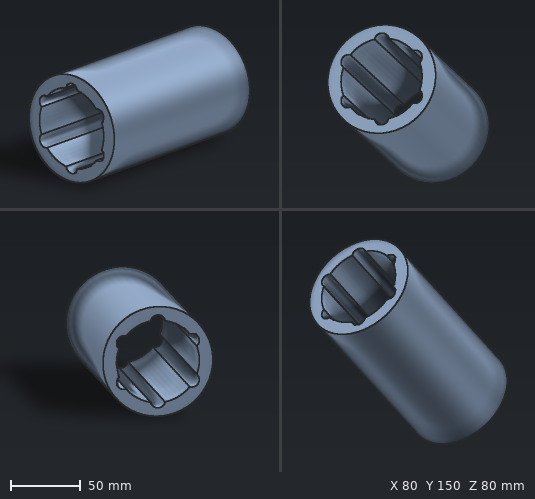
import cadquery as cq

length = 150.0
outer_diameter = 80.0
bore_diameter = 60.0

groove_count = 6
groove_radius = 5.2
groove_center_radius = 28.5
first_groove_angle = 90.0


def end_plane():
    """Workplane on the +Y end face; extrusions from it run toward -Y."""
    return cq.Workplane("XZ", origin=(0, length / 2, 0))


sleeve = end_plane().circle(outer_diameter / 2).extrude(length)
bore = end_plane().circle(bore_diameter / 2).extrude(length)
grooves = (
    end_plane()
    .polarArray(groove_center_radius, first_groove_angle, 360, groove_count)
    .circle(groove_radius)
    .extrude(length)
)

result = sleeve.cut(bore).cut(grooves)